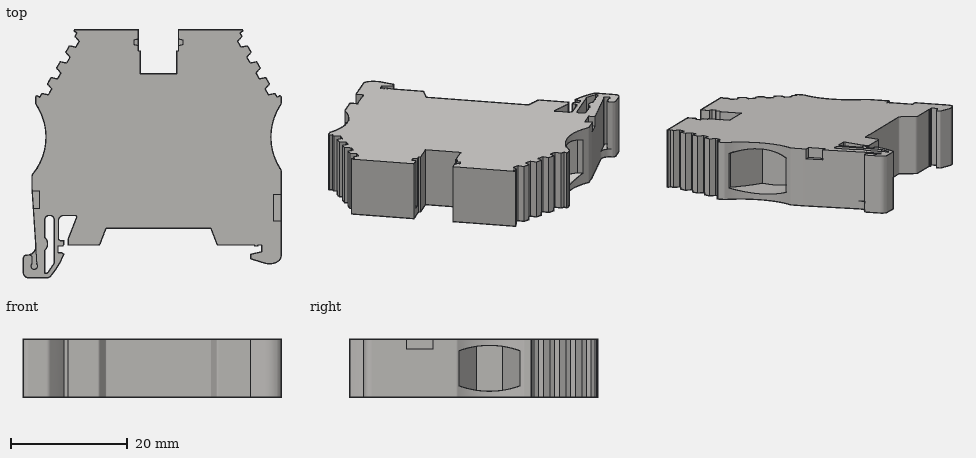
import cadquery as cq
import math

THICKNESS = 10.0
MID_Z = THICKNESS / 2
HEIGHT = 42.5
BODY_HALF = 21.05
HOOK_LEFT = -23.15

SHOULDER_ANGLE = math.radians(60)
FIRST_CREST_END = (-14.3, 41.35)
GROOVE_COUNT = 4
GROOVE_PITCH = 3.15
GROOVE_DEPTH = 1.05
GROOVE_FLOOR = 1.15
FLANK_RUN = 0.35
TOP_CREST = 0.7
EAR_CREST = 0.75
LIP_HEIGHT = 0.57
TOP_CORNER_X = -14.35
EAR_TOP = 31.05

SCOOP_RADIUS = 10.05
SCOOP_X = 29.3
SCOOP_Y = 24.15
SCOOP_EDGE_RADIUS = 0.55
ENTRY_Y = 23.95
ENTRY_HALF_WIDTH = 5.2
ENTRY_BACK_HALF_WIDTH = 2.25
ENTRY_HALF_HEIGHT = 3.95
ENTRY_CROWN_RADIUS = 15.05
ENTRY_TAPER_X = 19.9
ENTRY_BACK_X = 11.5

SLOT_HALF = 3.425
SLOT_BOTTOM_HALF = 3.1
SLOT_STEP_Y = 38.9
SLOT_BOTTOM_Y = 35.0
KEY_BACK_X = 4.2
KEY_Y = 40.35
KEY_MOUTH_HALF = 0.57
KEY_BACK_HALF = 0.4

WALL_X = -21.65
WALL_BEND_Y = 15.15
WALL_BEND_HALF = 0.2
WALL_FOOT = (-20.8, 2.48)
BASE_Y = 5.6
RAIL_TOP_Y = 8.5
RAIL_TOP_HALF = 8.97
RAIL_MOUTH_HALF = 10.08
RAIL_TOP_RADIUS = 0.18
RAIL_EDGE_RADIUS = 0.4
FOOT_TIP_X = 15.8
FOOT_TIP_RADIUS = 0.2
NUB_HEIGHT = 0.18
BASE_LEFT_X = -15.45

LEG_RIGHT_X = -17.1
TOE_X = -16.18
GAP_TOP_Y = 10.7
GAP_RADIUS = 0.9
HOOK_TOP_Y = 3.95
HOOK_RADIUS = 0.6
HOOK_INNER_RADIUS = 0.4
HEEL_RADIUS = 0.97
SOLE_RADIUS = 0.9
SOLE_X = -18.75
WEB_RADIUS = 1.45
WEB_THICKNESS = 1.4
SLIT_LEFT_X = -21.65
SLIT_END = (-21.25, 2.05)
SLIT_END_RADIUS = 0.552
LEG_SLOT_LEFT = -19.45
LEG_SLOT_RIGHT = -17.85
LEG_SLOT_RADIUS = 0.75

NOTCH_DEPTH = 1.72
LEFT_NOTCH = (-22.1, -20.35, 11.95, 14.85)
RIGHT_NOTCH = (19.7, BODY_HALF, 9.72, 14.3)


def mirrored(points):
    """The points reflected in X = 0, in the same order."""
    return [(-x, y) for x, y in points]


def shoulder():
    """Left shoulder from the top face down to the ear."""
    def at(along, out):
        x0, y0 = FIRST_CREST_END
        cos_a = math.cos(SHOULDER_ANGLE)
        sin_a = math.sin(SHOULDER_ANGLE)
        return (x0 - along * cos_a - out * sin_a, y0 - along * sin_a + out * cos_a)

    points = [(TOP_CORNER_X, HEIGHT), at(-TOP_CREST, LIP_HEIGHT), at(-TOP_CREST, 0)]
    for i in range(GROOVE_COUNT):
        start = i * GROOVE_PITCH
        floor_start = start + FLANK_RUN
        floor_end = floor_start + GROOVE_FLOOR
        end = floor_end + FLANK_RUN
        points += [
            at(start, 0),
            at(floor_start, -GROOVE_DEPTH),
            at(floor_end, -GROOVE_DEPTH),
            at(end, 0),
        ]
    points += [at(end + EAR_CREST, 0), at(end + EAR_CREST, LIP_HEIGHT), (-BODY_HALF, EAR_TOP)]
    return points


def wall_x(y):
    """X of the leaning left wall at height y."""
    share = (WALL_BEND_Y - y) / (WALL_BEND_Y - WALL_FOOT[1])
    return WALL_X + share * (WALL_FOOT[0] - WALL_X)


def round_edges(body, points, radius):
    """Fillet the upright edges that pass through the given XY points."""
    for x, y in points:
        body = body.edges("|Z").edges(cq.NearestToPointSelector((x, y, MID_Z))).fillet(radius)
    return body


def plate(points, bottom=0.0):
    """Prism over a polygon, from the given height to the upper face."""
    prism = cq.Workplane("XY").workplane(offset=bottom).polyline(points).close()
    return prism.extrude(THICKNESS - bottom)


def outer_body():
    left = shoulder()
    slot_left = [
        (-SLOT_HALF, HEIGHT),
        (-SLOT_HALF, SLOT_STEP_Y),
        (-SLOT_BOTTOM_HALF, SLOT_STEP_Y),
        (-SLOT_BOTTOM_HALF, SLOT_BOTTOM_Y),
    ]
    rail_right = [(RAIL_TOP_HALF, RAIL_TOP_Y), (RAIL_MOUTH_HALF, BASE_Y)]
    hook_corner = (wall_x(HOOK_TOP_Y), HOOK_TOP_Y)
    bend_bottom = WALL_BEND_Y - WALL_BEND_HALF
    foot_tip = [(FOOT_TIP_X, 3.25), (FOOT_TIP_X, 4.05)]
    gap_left = (LEG_RIGHT_X, GAP_TOP_Y)

    outline = (
        cq.Workplane("XY")
        .polyline(slot_left + mirrored(slot_left[::-1]) + mirrored(left))
        .lineTo(BODY_HALF, 3.9)
        .threePointArc((20.8, 3.2), (20.35, 2.75))
        .threePointArc((19.4, 2.45), (18.4, 2.48))
        .lineTo(*foot_tip[0])
        .lineTo(*foot_tip[1])
        .lineTo(17.7, 4.5)
        .lineTo(17.7, BASE_Y)
        .lineTo(17.0, BASE_Y)
        .lineTo(17.0, BASE_Y - NUB_HEIGHT)
        .lineTo(16.5, BASE_Y - NUB_HEIGHT)
        .lineTo(16.5, BASE_Y)
        .polyline(rail_right[::-1] + mirrored(rail_right), includeCurrent=True)
        .lineTo(BASE_LEFT_X, BASE_Y)
        .lineTo(BASE_LEFT_X, 6.67)
        .lineTo(-14.0, 10.45)
        .lineTo(-14.1, GAP_TOP_Y)
        .lineTo(*gap_left)
        .lineTo(LEG_RIGHT_X, 6.65)
        .lineTo(-16.8, 6.4)
        .lineTo(TOE_X, 6.4)
        .lineTo(TOE_X, 5.7)
        .lineTo(-16.45, 5.45)
        .lineTo(-17.2, 5.45)
        .lineTo(-17.2, 4.35)
        .lineTo(-16.58, 4.35)
        .lineTo(TOE_X, 4.05)
        .threePointArc((-17.0, 2.35), (SOLE_X, 0))
        .lineTo(HOOK_LEFT, 0)
        .lineTo(HOOK_LEFT, HOOK_TOP_Y)
        .lineTo(*hook_corner)
        .lineTo(wall_x(bend_bottom), bend_bottom)
        .tangentArcPoint((WALL_X, WALL_BEND_Y + WALL_BEND_HALF), relative=False)
        .lineTo(WALL_X, SCOOP_Y)
        .lineTo(-BODY_HALF, SCOOP_Y)
        .polyline(left[::-1], includeCurrent=True)
        .close()
    )
    body = outline.extrude(THICKNESS)
    rail_top, rail_edge = rail_right
    body = round_edges(body, [rail_top] + mirrored([rail_top]), RAIL_TOP_RADIUS)
    body = round_edges(body, [rail_edge] + mirrored([rail_edge]), RAIL_EDGE_RADIUS)
    body = round_edges(body, foot_tip, FOOT_TIP_RADIUS)
    body = round_edges(body, [gap_left], GAP_RADIUS)
    body = round_edges(body, [(HOOK_LEFT, HOOK_TOP_Y)], HOOK_RADIUS)
    body = round_edges(body, [(HOOK_LEFT, 0)], HEEL_RADIUS)
    body = round_edges(body, [(SOLE_X, 0)], SOLE_RADIUS)
    return round_edges(body, [hook_corner], WEB_RADIUS)


def scoop_end(x, side):
    """Height where the scoop meets an upright wall at x, above (1) or below (-1) its middle."""
    return SCOOP_Y + side * math.sqrt(SCOOP_RADIUS**2 - (SCOOP_X - abs(x)) ** 2)


def cut_scoops(body):
    centres = [(-SCOOP_X, SCOOP_Y), (SCOOP_X, SCOOP_Y)]
    body = body.cut(cq.Workplane("XY").pushPoints(centres).circle(SCOOP_RADIUS).extrude(THICKNESS))
    walls = [(-BODY_HALF, 1), (BODY_HALF, 1), (WALL_X, -1), (BODY_HALF, -1)]
    return round_edges(body, [(x, scoop_end(x, side)) for x, side in walls], SCOOP_EDGE_RADIUS)


def wire_entry():
    """Left wire entry: narrowing in plan, with a crowned floor and ceiling."""
    funnel = plate([
        (-SCOOP_X, ENTRY_Y + ENTRY_HALF_WIDTH),
        (-ENTRY_TAPER_X, ENTRY_Y + ENTRY_HALF_WIDTH),
        (-ENTRY_BACK_X, ENTRY_Y + ENTRY_BACK_HALF_WIDTH),
        (-ENTRY_BACK_X, ENTRY_Y - ENTRY_BACK_HALF_WIDTH),
        (-ENTRY_TAPER_X, ENTRY_Y - ENTRY_HALF_WIDTH),
        (-SCOOP_X, ENTRY_Y - ENTRY_HALF_WIDTH),
    ])
    crown_offset = ENTRY_CROWN_RADIUS - ENTRY_HALF_HEIGHT
    for centre_z in (MID_Z - crown_offset, MID_Z + crown_offset):
        crown = (
            cq.Workplane("YZ", origin=(-SCOOP_X, ENTRY_Y, centre_z))
            .circle(ENTRY_CROWN_RADIUS)
            .extrude(SCOOP_X)
        )
        funnel = funnel.intersect(crown)
    return funnel


def key_groove():
    """Blind groove in the left wall of the top slot."""
    return plate([
        (-SLOT_HALF, KEY_Y + KEY_MOUTH_HALF),
        (-KEY_BACK_X, KEY_Y + KEY_BACK_HALF),
        (-KEY_BACK_X, KEY_Y - KEY_BACK_HALF),
        (-SLOT_HALF, KEY_Y - KEY_MOUTH_HALF),
    ], WEB_THICKNESS)


def hook_slit():
    """Slit that frees the hook from the wall above the web, with a round end."""
    top_y = HOOK_TOP_Y + 2 * WEB_RADIUS
    slit = plate([
        (HOOK_LEFT, top_y),
        (HOOK_LEFT, HOOK_TOP_Y),
        (SLIT_LEFT_X, HOOK_TOP_Y),
        (SLIT_LEFT_X, SLIT_END[1]),
        WALL_FOOT,
        (wall_x(top_y), top_y),
    ], WEB_THICKNESS)
    slit = round_edges(slit, [(SLIT_LEFT_X, HOOK_TOP_Y)], HOOK_INNER_RADIUS)
    end = cq.Workplane("XY").workplane(offset=WEB_THICKNESS).center(*SLIT_END)
    return slit.union(end.circle(SLIT_END_RADIUS).extrude(THICKNESS - WEB_THICKNESS))


def leg_slot():
    """Through slot in the spring leg, with a bump on its left side."""
    slot = (
        cq.Workplane("XY")
        .moveTo(LEG_SLOT_LEFT, GAP_TOP_Y)
        .lineTo(LEG_SLOT_RIGHT, GAP_TOP_Y)
        .lineTo(LEG_SLOT_RIGHT, 2.5)
        .lineTo(-19.0, 0.85)
        .lineTo(LEG_SLOT_LEFT, 0.85)
        .lineTo(LEG_SLOT_LEFT, 4.75)
        .threePointArc((-18.95, 5.85), (LEG_SLOT_LEFT, 6.95))
        .close()
        .extrude(THICKNESS)
    )
    corners = [(LEG_SLOT_LEFT, GAP_TOP_Y), (LEG_SLOT_RIGHT, GAP_TOP_Y)]
    return round_edges(slot, corners, LEG_SLOT_RADIUS)


def notch(x_min, x_max, y_min, y_max):
    corners = [(x_min, y_min), (x_max, y_min), (x_max, y_max), (x_min, y_max)]
    return plate(corners, THICKNESS - NOTCH_DEPTH)


result = cut_scoops(outer_body())
for cutter in (wire_entry(), key_groove()):
    result = result.cut(cutter).cut(cutter.mirror("YZ"))
for cutter in (hook_slit(), leg_slot(), notch(*LEFT_NOTCH), notch(*RIGHT_NOTCH)):
    result = result.cut(cutter)